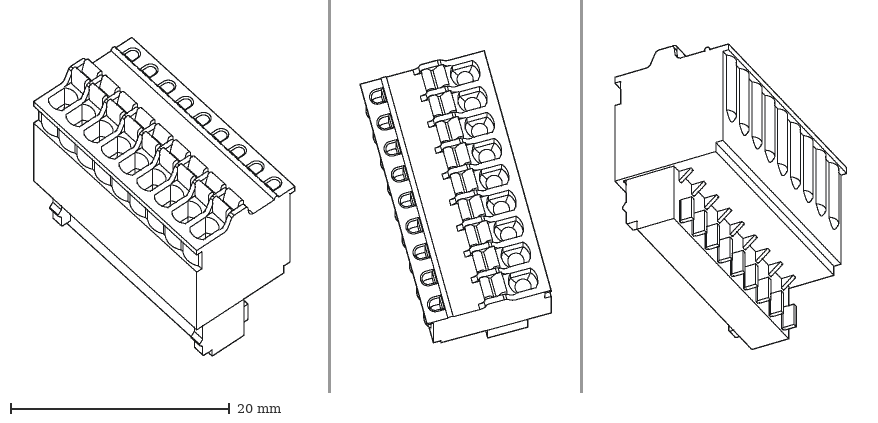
import cadquery as cq
import math


WIDTH = 23.1
DEPTH = 11.75
HOUSING_BOTTOM = 5.75
HOUSING_TOP = 17.16
LIP_BOTTOM = HOUSING_TOP - 0.65
REAR_WALL_Y = 11.18
REAR_STEP_Y = 10.45
REAR_STEP_Z = 6.75
RECESS_DEPTH = 0.6
RECESS_BOTTOM = 14.07

POLES = 9
END_MARGIN = 0.3
PITCH = (WIDTH - 2 * END_MARGIN) / POLES
POLE_X = [(i - (POLES - 1) / 2) * PITCH for i in range(POLES)]

ENTRY_Y = 2.25
ENTRY_RADIUS = 1.35
ENTRY_WIDTH = 1.9
ENTRY_STRAIGHT_DEPTH = 2.3
FUNNEL_DEPTH = 0.92
FUNNEL_END_RADIUS = 0.75
BULGE_RADIUS = 1.99

TEST_Y = 10.58
TEST_RADIUS = 0.53
TEST_FRONT_Y = 10.03
TEST_CHAMFER = 0.16
TEST_DEPTH = 3.46
COLUMN_RADIUS = 1.05
COLUMN_BOTTOM = 10.5
COLUMN_TAPER_RADIUS = 0.45
COLUMN_TAPER_HEIGHT = 0.79

RIDGE_Y = 9.55
RIDGE_HALF_WIDTH = 0.25
RIDGE_EDGE_HEIGHT = 0.12
RIDGE_HEIGHT = 0.32
RIDGE_BULGE = 0.058

PARTITION_WIDTH = 0.5
PARTITION_TOP = 18.73
PARTITION_BACK_FOOT_Y = 6.77
PARTITION_BACK_LOW = (6.24, 17.67)
PARTITION_BACK_HIGH = (6.15, 18.4)
PARTITION_CREST_BACK_Y = 5.78
PARTITION_CREST_FRONT_Y = 4.45
PARTITION_FRONT_HIGH = (4.2, 18.57)
PARTITION_FRONT_LOW = (3.72, 17.49)
PARTITION_FRONT_FOOT_Y = 3.3
FOOT_SAGITTA = 0.07
CREST_SAGITTA = 0.1

LEVER_WIDTH = 1.9
LEVER_TOP = 19.2
LEVER_FRONT_Y = 4.02
LEVER_BACK_Y = 6.1
LEVER_LIP = 0.5
LEVER_OUTER_ROUND = 0.3
LEVER_INNER_ROUND = 0.16
GROOVE_BOTTOM = (5.04, 17.55)
GROOVE_BEND = (5.27, 17.9)

PLUG_WIDTH = 22.45
PLUG_FRONT_Y = 2.13
PLUG_BACK_Y = 5.94
LEDGE_FRONT_Y = 0.72
LEDGE_HEIGHT = 0.07

LATCH_WIDTH = 1.2
LATCH_FRONT_Y = 1.0
LATCH_BOTTOM = 0.9
LATCH_ROUND = 0.2
BARB_TIP_Y = 0.62
BARB_Z = 2.8
BARB_HALF_HEIGHT = 0.55
BARB_TIP_HALF_HEIGHT = 0.1

TAB_WIDTH = 0.46
TAB_NECK_WIDTH = 0.32
TAB_NECK_Y = 6.1
TAB_BACK_Y = 7.25
TAB_BOTTOM = 0.32
TAB_TOP = 2.56
GUSSET_BACK_Y = 7.18
GUSSET_HEIGHT = 1.02


def box(x_min, x_max, y_min, y_max, z_min, z_max):
    size = (x_max - x_min, y_max - y_min, z_max - z_min)
    return cq.Workplane("XY").box(*size, centered=False).translate((x_min, y_min, z_min))


def centred_box(x, width, y_min, y_max, z_min, z_max):
    return box(x - width / 2, x + width / 2, y_min, y_max, z_min, z_max)


def side_profile(x):
    """Sketch plane at x whose local axes are Y and Z."""
    return cq.Workplane("YZ", origin=(x, 0, 0))


def cylinder(x, y, z_min, z_max, radius):
    return cq.Workplane("XY", origin=(x, y, z_min)).circle(radius).extrude(z_max - z_min)


def cone(x, y, z_low, z_high, radius_low, radius_high):
    low = cq.Workplane("XY", origin=(x, y, z_low)).circle(radius_low)
    return low.workplane(offset=z_high - z_low).circle(radius_high).loft()


def housing():
    outline = [
        (0, HOUSING_BOTTOM),
        (REAR_STEP_Y, HOUSING_BOTTOM),
        (REAR_STEP_Y, REAR_STEP_Z),
        (REAR_WALL_Y, REAR_STEP_Z),
        (REAR_WALL_Y, LIP_BOTTOM),
        (DEPTH, LIP_BOTTOM),
        (DEPTH, HOUSING_TOP),
        (0, HOUSING_TOP),
        (0, LIP_BOTTOM),
        (RECESS_DEPTH, LIP_BOTTOM),
        (RECESS_DEPTH, RECESS_BOTTOM),
        (0, RECESS_BOTTOM),
    ]
    return side_profile(-WIDTH / 2).polyline(outline).close().extrude(WIDTH)


def ridge():
    """Low ridge whose two convex flanks meet in a crest."""
    front = RIDGE_Y - RIDGE_HALF_WIDTH
    back = RIDGE_Y + RIDGE_HALF_WIDTH
    edge_z = HOUSING_TOP + RIDGE_EDGE_HEIGHT
    crest = (RIDGE_Y, HOUSING_TOP + RIDGE_HEIGHT)
    return (
        side_profile(-WIDTH / 2)
        .moveTo(front, HOUSING_TOP)
        .lineTo(front, edge_z)
        .sagittaArc(crest, RIDGE_BULGE)
        .sagittaArc((back, edge_z), RIDGE_BULGE)
        .lineTo(back, HOUSING_TOP)
        .close()
        .extrude(WIDTH)
    )


def bulge(x):
    """Round wall of a wire entry standing proud of the recess floor."""
    front = centred_box(x, PITCH, 0, ENTRY_Y, RECESS_BOTTOM, LIP_BOTTOM)
    return cylinder(x, ENTRY_Y, RECESS_BOTTOM, LIP_BOTTOM, BULGE_RADIUS).intersect(front)


def column(x):
    """Round column on the rear wall, tapered at its lower end."""
    shaft = cylinder(x, TEST_Y, COLUMN_BOTTOM, LIP_BOTTOM, COLUMN_RADIUS)
    taper_bottom = COLUMN_BOTTOM - COLUMN_TAPER_HEIGHT
    end_radius = COLUMN_RADIUS - COLUMN_TAPER_RADIUS
    return shaft.union(cone(x, TEST_Y, taper_bottom, COLUMN_BOTTOM, end_radius, COLUMN_RADIUS))


def slot_outline(plane):
    """Circle trimmed by two flat sides."""
    half_width = ENTRY_WIDTH / 2
    corner_y = math.sqrt(ENTRY_RADIUS**2 - half_width**2)
    return (
        plane.moveTo(half_width, -corner_y)
        .lineTo(half_width, corner_y)
        .threePointArc((0, ENTRY_RADIUS), (-half_width, corner_y))
        .lineTo(-half_width, -corner_y)
        .threePointArc((0, -ENTRY_RADIUS), (half_width, -corner_y))
        .close()
    )


def quartered_circle(plane, radius):
    """Circle of four arcs, so that each arc faces one edge of the slot."""
    corner = radius * math.sqrt(0.5)
    return (
        plane.moveTo(corner, -corner)
        .threePointArc((radius, 0), (corner, corner))
        .threePointArc((0, radius), (-corner, corner))
        .threePointArc((-radius, 0), (-corner, -corner))
        .threePointArc((0, -radius), (corner, -corner))
        .close()
    )


def wire_entry(x):
    """Straight slot that funnels down to a round floor."""
    funnel_top = HOUSING_TOP - ENTRY_STRAIGHT_DEPTH
    top_plane = cq.Workplane("XY", origin=(x, ENTRY_Y, funnel_top))
    slot = slot_outline(top_plane).extrude(ENTRY_STRAIGHT_DEPTH)
    funnel_plane = slot_outline(top_plane).workplane(offset=-FUNNEL_DEPTH)
    funnel = quartered_circle(funnel_plane, FUNNEL_END_RADIUS).loft(ruled=True)
    return slot.union(funnel)


def test_hole_outline(plane, margin):
    """D-shaped outline, flat towards the front and grown outwards by margin."""
    radius = TEST_RADIUS + margin
    front = TEST_FRONT_Y - TEST_Y - margin
    return (
        plane.moveTo(-radius, front)
        .lineTo(radius, front)
        .lineTo(radius, 0)
        .threePointArc((0, radius), (-radius, 0))
        .close()
    )


def test_hole(x):
    bottom = cq.Workplane("XY", origin=(x, TEST_Y, HOUSING_TOP - TEST_DEPTH))
    bore = test_hole_outline(bottom, 0).extrude(TEST_DEPTH)
    chamfer_plane = cq.Workplane("XY", origin=(x, TEST_Y, HOUSING_TOP - TEST_CHAMFER))
    narrow = test_hole_outline(chamfer_plane, 0)
    chamfer = test_hole_outline(narrow.workplane(offset=TEST_CHAMFER), TEST_CHAMFER).loft(ruled=True)
    return bore.union(chamfer)


def partition(x):
    """Thin wall with flared feet, a steep back and a sloping front."""
    return (
        side_profile(x - PARTITION_WIDTH / 2)
        .moveTo(PARTITION_BACK_FOOT_Y, HOUSING_TOP)
        .sagittaArc(PARTITION_BACK_LOW, FOOT_SAGITTA)
        .lineTo(*PARTITION_BACK_HIGH)
        .sagittaArc((PARTITION_CREST_BACK_Y, PARTITION_TOP), -CREST_SAGITTA)
        .lineTo(PARTITION_CREST_FRONT_Y, PARTITION_TOP)
        .lineTo(*PARTITION_FRONT_HIGH)
        .lineTo(*PARTITION_FRONT_LOW)
        .sagittaArc((PARTITION_FRONT_FOOT_Y, HOUSING_TOP), FOOT_SAGITTA)
        .close()
        .extrude(PARTITION_WIDTH)
    )


def lever(x):
    """Release lever with a tapered groove between two rounded lips."""
    outline = [
        (LEVER_FRONT_Y, HOUSING_TOP),
        (LEVER_FRONT_Y, LEVER_TOP),
        (LEVER_FRONT_Y + LEVER_LIP, LEVER_TOP),
        GROOVE_BOTTOM,
        GROOVE_BEND,
        (LEVER_BACK_Y - LEVER_LIP, LEVER_TOP),
        (LEVER_BACK_Y, LEVER_TOP),
        (LEVER_BACK_Y, HOUSING_TOP),
    ]
    blank = side_profile(x - LEVER_WIDTH / 2).polyline(outline).close().extrude(LEVER_WIDTH)
    rounded = blank.faces(">Z").edges("|X").edges("not (<Y or >Y)").fillet(LEVER_INNER_ROUND)
    return rounded.faces(">Z").edges("<Y or >Y").fillet(LEVER_OUTER_ROUND)


def plug():
    block = centred_box(0, PLUG_WIDTH, PLUG_FRONT_Y, PLUG_BACK_Y, 0, HOUSING_BOTTOM)
    ledge_bottom = HOUSING_BOTTOM - LEDGE_HEIGHT
    return block.union(centred_box(0, PLUG_WIDTH, LEDGE_FRONT_Y, PLUG_FRONT_Y, ledge_bottom, HOUSING_BOTTOM))


def latch(x_min):
    """Snap latch with a pointed barb on its front face."""
    outline = [
        (PLUG_FRONT_Y, HOUSING_BOTTOM),
        (LATCH_FRONT_Y, HOUSING_BOTTOM),
        (LATCH_FRONT_Y, BARB_Z + BARB_HALF_HEIGHT),
        (BARB_TIP_Y, BARB_Z + BARB_TIP_HALF_HEIGHT),
        (BARB_TIP_Y, BARB_Z - BARB_TIP_HALF_HEIGHT),
        (LATCH_FRONT_Y, BARB_Z - BARB_HALF_HEIGHT),
        (LATCH_FRONT_Y, LATCH_BOTTOM),
        (PLUG_FRONT_Y, LATCH_BOTTOM),
    ]
    blank = side_profile(x_min).polyline(outline).close().extrude(LATCH_WIDTH)
    return blank.faces("<Z").edges("<Y").fillet(LATCH_ROUND)


def coding_tab(x):
    neck = centred_box(x, TAB_NECK_WIDTH, PLUG_BACK_Y, TAB_NECK_Y, TAB_BOTTOM, TAB_TOP)
    return neck.union(centred_box(x, TAB_WIDTH, TAB_NECK_Y, TAB_BACK_Y, TAB_BOTTOM, TAB_TOP))


def gusset(x):
    outline = [
        (PLUG_BACK_Y, HOUSING_BOTTOM),
        (GUSSET_BACK_Y, HOUSING_BOTTOM),
        (PLUG_BACK_Y, HOUSING_BOTTOM - GUSSET_HEIGHT),
    ]
    return side_profile(x - TAB_WIDTH / 2).polyline(outline).close().extrude(TAB_WIDTH)


end_partition_x = (WIDTH - PARTITION_WIDTH) / 2
partition_x = [-end_partition_x, end_partition_x]
partition_x += [pole_x + PITCH / 2 for pole_x in POLE_X[:-1]]

latch_x = [POLE_X[0], PLUG_WIDTH / 2 - LATCH_WIDTH]

additions = [ridge(), plug()]
for feature, places in [
    (bulge, POLE_X),
    (column, POLE_X),
    (lever, POLE_X),
    (partition, partition_x),
    (coding_tab, POLE_X),
    (gusset, POLE_X),
    (latch, latch_x),
]:
    additions += [feature(x) for x in places]

openings = [feature(x) for feature in (wire_entry, test_hole) for x in POLE_X]

body = housing().val().fuse(*[addition.val() for addition in additions])
body = body.cut(*[opening.val() for opening in openings])
result = cq.Workplane(body.clean())